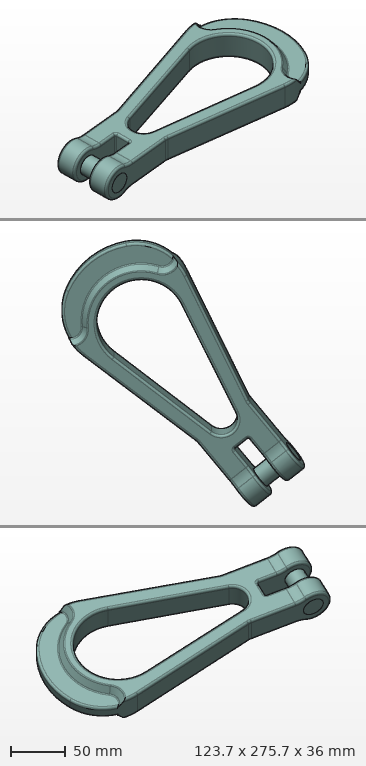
import cadquery as cq
import math

plate_thickness = 27.5
edge_radius = 2.5

lug_radius = 18.0
clevis_half_width = 30.3
slot_width = 16.8
slot_end_y = 38.0
slot_corner_radius = 1.5
lug_blend_radius = 23.5
pin_diameter = 20.0

leg_corner_y = 64.5
leg_corner_radius = 13.8
eye_center_y = 183.2
eye_radius = 40.63
throat_center_y = 67.2
throat_radius = 14.5

head_half_width = 61.83
crown_radius = 74.5
head_side_radius = 50.7

rim_thickness = 12.7
rim_wall_radius = 55.0
rim_scoop_radius = 9.6
rim_scoop_x = 53.7
rim_wall_draft = 35.0
rim_wall_fillet = 1.5

half_plate = plate_thickness / 2
half_rim = rim_thickness / 2
side_center_x = head_half_width - head_side_radius
side_center_y = eye_center_y + math.sqrt((crown_radius - head_side_radius) ** 2 - side_center_x**2)

clearance = 27.5
far_reach = eye_center_y + crown_radius + clearance


def polar(center_x, center_y, radius, angle):
    """Point on a circle, with the angle in radians from +X."""
    return (center_x + radius * math.cos(angle), center_y + radius * math.sin(angle))


def mirrored(point):
    return (-point[0], point[1])


def plan_outline():
    """Full-height prism of the outline: clevis block, flared legs and rounded head."""
    run_x = side_center_x - clevis_half_width
    run_y = side_center_y - leg_corner_y
    leg_angle = math.atan2(run_y, run_x) - math.asin(head_side_radius / math.hypot(run_x, run_y))
    normal_angle = leg_angle - math.pi / 2
    crown_angle = math.atan2(side_center_y - eye_center_y, side_center_x)

    leg_corner = (clevis_half_width, leg_corner_y)
    leg_end = polar(side_center_x, side_center_y, head_side_radius, normal_angle)
    side_middle = (head_half_width, side_center_y)
    crown_end = polar(0, eye_center_y, crown_radius, crown_angle)
    crown_top = (0, eye_center_y + crown_radius)

    prism = (
        cq.Workplane("XY", origin=(0, 0, -lug_radius))
        .moveTo(clevis_half_width, -lug_radius)
        .lineTo(*leg_corner)
        .lineTo(*leg_end)
        .threePointArc(side_middle, crown_end)
        .threePointArc(crown_top, mirrored(crown_end))
        .threePointArc(mirrored(side_middle), mirrored(leg_end))
        .lineTo(*mirrored(leg_corner))
        .lineTo(-clevis_half_width, -lug_radius)
        .close()
        .extrude(2 * lug_radius)
    )
    corner_band = cq.selectors.BoxSelector(
        (-clevis_half_width - 2.8, leg_corner_y - 2.8, -lug_radius),
        (clevis_half_width + 2.8, leg_corner_y + 2.8, lug_radius),
    )
    return prism.edges("|Z").edges(corner_band).fillet(leg_corner_radius)


def side_profile():
    """Prism along X of the plate edge-on, swelling through blend arcs into the round lug."""
    blend_center_z = half_plate + lug_blend_radius
    center_distance = lug_radius + lug_blend_radius
    blend_y = math.sqrt(center_distance**2 - blend_center_z**2)
    lug_angle = math.atan2(blend_center_z, blend_y)
    lug_end = polar(0, 0, lug_radius, lug_angle)
    blend_middle_angle = (lug_angle + math.pi + 3 * math.pi / 2) / 2
    blend_middle = polar(blend_y, blend_center_z, lug_blend_radius, blend_middle_angle)
    return (
        cq.Workplane("YZ", origin=(-head_half_width - clearance, 0, 0))
        .moveTo(far_reach, half_plate)
        .lineTo(blend_y, half_plate)
        .threePointArc(blend_middle, lug_end)
        .threePointArc((-lug_radius, 0), (lug_end[0], -lug_end[1]))
        .threePointArc((blend_middle[0], -blend_middle[1]), (blend_y, -half_plate))
        .lineTo(far_reach, -half_plate)
        .close()
        .extrude(2 * (head_half_width + clearance))
    )


def eye_opening():
    """Teardrop opening: a large and a small arc joined by their common tangents."""
    tangent_angle = -math.asin((eye_radius - throat_radius) / (eye_center_y - throat_center_y))
    eye_end = polar(0, eye_center_y, eye_radius, tangent_angle)
    throat_end = polar(0, throat_center_y, throat_radius, tangent_angle)
    return (
        cq.Workplane("XY", origin=(0, 0, -lug_radius))
        .moveTo(*throat_end)
        .lineTo(*eye_end)
        .threePointArc((0, eye_center_y + eye_radius), mirrored(eye_end))
        .lineTo(*mirrored(throat_end))
        .threePointArc((0, throat_center_y - throat_radius), throat_end)
        .close()
        .extrude(2 * lug_radius)
    )


def clevis_slot():
    slot_length = slot_end_y + lug_radius + clearance
    return (
        cq.Workplane("XY")
        .center(0, slot_end_y - slot_length / 2)
        .rect(slot_width, slot_length)
        .extrude(lug_radius, both=True)
        .edges("|Z and >Y")
        .fillet(slot_corner_radius)
    )


def relief_section(foot_radius, direction, floor_radius):
    """Section (radius, z) of the space around the wall, from the mid-plane up.

    It rises straight through the rim's half thickness and then along the rounded wall.
    The wall starts at foot_radius and recedes inward (direction -1) or outward (+1) as it rises.
    """
    turn = math.radians(90 - rim_wall_draft)
    wall_run = (half_plate - half_rim) * math.tan(math.radians(rim_wall_draft))
    wall_run += 2 * rim_wall_fillet * math.tan(turn / 2)

    def foot_arc(angle):
        run = rim_wall_fillet * math.sin(angle)
        rise = rim_wall_fillet * (1 - math.cos(angle))
        return (foot_radius + direction * run, half_rim + rise)

    def crest_arc(angle):
        run = wall_run - rim_wall_fillet * math.sin(angle)
        drop = rim_wall_fillet * (1 - math.cos(angle))
        return (foot_radius + direction * run, half_plate - drop)

    return (
        cq.Workplane("XZ")
        .moveTo(floor_radius, 0)
        .lineTo(foot_radius, 0)
        .lineTo(foot_radius, half_rim)
        .threePointArc(foot_arc(turn / 2), foot_arc(turn))
        .lineTo(*crest_arc(turn))
        .threePointArc(crest_arc(turn / 2), crest_arc(0))
        .lineTo(crest_arc(0)[0], half_plate + clearance)
        .lineTo(floor_radius, half_plate + clearance)
        .close()
    )


def rim_relief():
    """Space that holds only the rim: its wall follows the eye and ends in a scoop at each side."""
    scoop_distance = rim_wall_radius + rim_scoop_radius
    scoop_angle = math.acos(rim_scoop_x / scoop_distance)
    scoop_y = eye_center_y + scoop_distance * math.sin(scoop_angle)
    start_angle = math.degrees(scoop_angle)

    relief = (
        relief_section(rim_wall_radius, -1, crown_radius + clearance)
        .revolve(180 - 2 * start_angle, (0, 0), (0, 1))
        .rotate((0, 0, 0), (0, 0, 1), start_angle)
        .translate((0, eye_center_y, 0))
    )
    scoop = relief_section(rim_scoop_radius, 1, 0).revolve(360, (0, 0), (0, 1))
    for side in (-1, 1):
        relief = relief.union(scoop.translate((side * rim_scoop_x, scoop_y, 0)))
    return relief.union(relief.mirror("XY"))


def pin_cylinder():
    """Pin shape, flush with the outer faces of the clevis; it also cuts the matching hole."""
    return (
        cq.Workplane("YZ", origin=(-clevis_half_width, 0, 0))
        .circle(pin_diameter / 2)
        .extrude(2 * clevis_half_width)
    )


def round_edges(body):
    """Round every outer edge of the plain link, including the rim of the eye and of the slot."""
    slot_end = cq.selectors.BoxSelector(
        (-slot_width, slot_end_y - edge_radius, -lug_radius),
        (slot_width, slot_end_y + edge_radius, lug_radius),
    )
    slot_end_edges = body.edges("|X").edges(slot_end)
    return body.edges("not(|Z or |X)").add(slot_end_edges).fillet(edge_radius)


def make_rim(relief):
    """Thin rim with rounded edges that fills the middle of the relieved space."""
    plate = plan_outline().intersect(
        cq.Workplane("XY").rect(2 * far_reach, 2 * far_reach).extrude(half_rim, both=True)
    )
    return plate.faces("|Z").edges().fillet(edge_radius).intersect(relief)


def make_link():
    body = plan_outline().intersect(side_profile()).cut(eye_opening()).cut(clevis_slot())
    relief = rim_relief()
    return round_edges(body).cut(relief).union(make_rim(relief)).cut(pin_cylinder())


def make_pin():
    return pin_cylinder()


link = make_link()
pin = make_pin()
result = cq.Compound.makeCompound([link.val(), pin.val()])